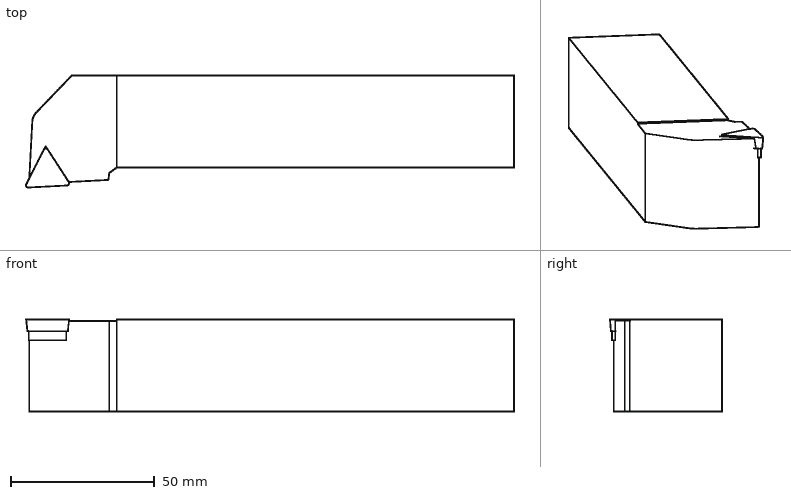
import cadquery as cq
import math

length = 169.5
shank_width = 32.0
height = 32.0
back_y = 39.0
shank_front_y = back_y - shank_width

head_end_x = 31.5
head_drop = 0.5
lead_angle = 3.0
head_corner_x = 1.0
head_corner_y = 1.2
back_chamfer_x = 16.0
shoulder_corner_y = 24.7
shoulder_radius = 5.0
nose_edge_radius = 1.4
step_bottom_x = 28.6
step_top_x = 29.0
step_top_y = 5.0
step_radius = 0.3

insert_side = 16.3
nose_radius = 0.8
insert_thickness = 4.0
relief_angle = 4.0

pad_thickness = 3.2
pad_inset = 0.7
pad_corner_radius = 0.5

lead = math.radians(lead_angle)
corner_angle = math.radians(60)
bisector = lead + corner_angle / 2
insert_bottom_z = height - insert_thickness
pad_bottom_z = insert_bottom_z - pad_thickness


def nose_corner():
    """Sharp corner of the insert whose rounded nose touches X = 0 and Y = 0."""
    reach = 2 * nose_radius
    return (nose_radius - reach * math.cos(bisector), nose_radius - reach * math.sin(bisector))


def triangle(z, inset=0.0):
    """Equilateral insert outline with every side moved inward by inset."""
    corner_x, corner_y = nose_corner()
    x = corner_x + 2 * inset * math.cos(bisector)
    y = corner_y + 2 * inset * math.sin(bisector)
    side = insert_side - 2 * math.sqrt(3) * inset
    points = [(x, y)]
    for angle in (lead, lead + corner_angle):
        points.append((x + side * math.cos(angle), y + side * math.sin(angle)))
    return cq.Workplane("XY").workplane(offset=z).polyline(points).close()


def relieved_triangle():
    """Sharp-cornered insert shape, narrowing downward by the relief angle."""
    bottom_inset = insert_thickness * math.tan(math.radians(relief_angle))
    bottom = triangle(insert_bottom_z, bottom_inset).wire().val()
    top = triangle(height).wire().val()
    return cq.Workplane(cq.Solid.makeLoft([bottom, top], True))


def make_insert():
    return relieved_triangle().faces("not |Z").edges("not #Z").fillet(nose_radius)


def make_head():
    shoulder_x = head_corner_x + (shoulder_corner_y - head_corner_y) * math.tan(lead)
    step_bottom_y = head_corner_y + (step_bottom_x - head_corner_x) * math.tan(lead)
    outline = [
        (head_corner_x, head_corner_y),
        (step_bottom_x, step_bottom_y),
        (step_top_x, step_top_y),
        (head_end_x, shank_front_y),
        (head_end_x, back_y),
        (back_chamfer_x, back_y),
        (shoulder_x, shoulder_corner_y),
    ]
    head = cq.Workplane("XY").polyline(outline).close().extrude(height - head_drop)

    def round_edge(body, point, radius):
        nearest = cq.selectors.NearestToPointSelector((*point, (height - head_drop) / 2))
        return body.edges("|Z").edges(nearest).fillet(radius)

    head = round_edge(head, (shoulder_x, shoulder_corner_y), shoulder_radius)
    head = round_edge(head, (head_corner_x, head_corner_y), nose_edge_radius)
    return round_edge(head, (step_bottom_x, step_bottom_y), step_radius)


def make_holder():
    shank = (
        cq.Workplane("XY")
        .box(length - head_end_x, shank_width, height, centered=False)
        .translate((head_end_x, shank_front_y, 0))
    )
    pad = triangle(pad_bottom_z, pad_inset).extrude(pad_thickness)
    pad = pad.edges("|Z").fillet(pad_corner_radius)
    return shank.union(make_head()).union(pad).cut(relieved_triangle())


insert = make_insert()
holder = make_holder()
result = cq.Compound.makeCompound([holder.val(), insert.val()])